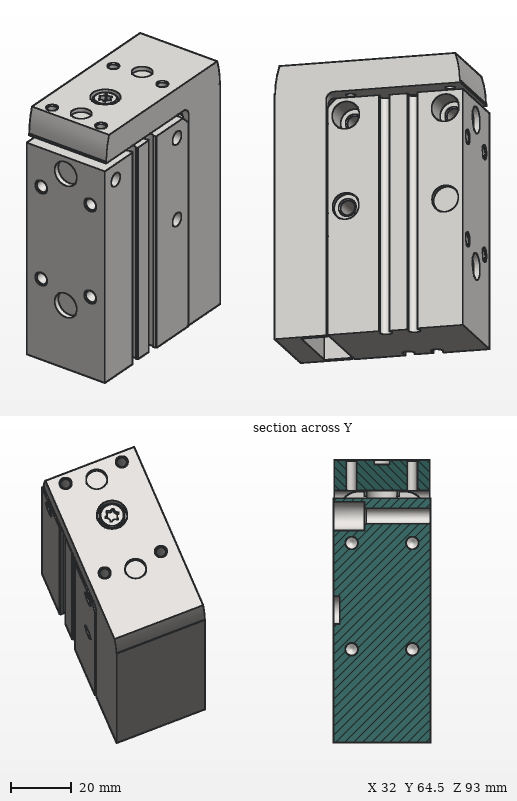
import cadquery as cq
import math


total_depth = 64.5
total_height = 93.0

housing_width = 32.0
housing_depth = 46.2
housing_height = 80.4
housing_chamfer = 2.8

slide_width = 31.5
slide_gap = 0.65
plate_underside = 82.9
plate_front = 0.9
plate_flank_radius = 29.9
plate_flank_step = 0.2
plate_flank_start = 83.5
inner_corner_radius = 2.8
leg_front = housing_depth + slide_gap

channel_width = 27.5
channel_corner_radius = 5.8
channel_depth = 9.0
channel_top = 82.5
carriage_bottom = 42.0
carriage_top = 72.5

slot_mouth_width = 3.2
slot_lip_chamfer = 0.3
slot_bore_diameter = 4.1
slot_bore_inset = 2.6
slot_front_y = 17.3
slot_back_y = 27.0
rib_inset = 0.5

side_hole_y = (6.0, 40.1)
side_hole_z_high = 74.5
side_hole_z_low = 43.5
side_counterbore_diameter = 9.3
side_counterbore_depth = 10.2
side_thread_diameter = 4.9
side_thread_countersink = 5.95

locating_diameter = 9.0
locating_depth = 2.0
port_z = (24.1, 74.0)

hole_spacing_x = 20.0
front_hole_z = (30.7, 65.7)
front_hole_diameter = 4.1
front_hole_countersink = 4.9
front_hole_depth = 8.4
drill_tip_angle = 118.0

plate_hole_y = (6.0, 40.1)
plate_hole_diameter = 3.3
plate_hole_countersink = 4.1
dowel_y = (8.6, 42.5)
dowel_diameter = 7.0
dowel_depth = 1.5

rod_y = 22.0
rod_diameter = 10.0
screw_recess_diameter = 10.0
screw_recess_depth = 2.8
screw_head_diameter = 8.5
screw_head_drop = 0.4
screw_head_chamfer = 0.5
star_tip_diameter = 4.65
star_flank_diameter = 2.4
star_valley_radius = 1.7
star_depth = 1.9
star_lobes = 6

stop_y = 37.9
stop_diameter = 11.5
stop_thickness = 1.8
stop_tip_diameter = 5.8


def cylinder(diameter, length, origin, direction):
    solid = cq.Solid.makeCylinder(diameter / 2, length, cq.Vector(*origin), cq.Vector(*direction))
    return cq.Workplane(solid)


def cone(start_diameter, end_diameter, length, origin, direction):
    start_radius = start_diameter / 2
    end_radius = end_diameter / 2
    solid = cq.Solid.makeCone(start_radius, end_radius, length, cq.Vector(*origin), cq.Vector(*direction))
    return cq.Workplane(solid)


def box(x_range, y_range, z_range):
    size = [high - low for low, high in (x_range, y_range, z_range)]
    corner = (x_range[0], y_range[0], z_range[0])
    return cq.Workplane().box(*size, centered=False).translate(corner)


def countersunk_hole(diameter, countersink_diameter, depth, origin, direction):
    """A round hole with a 45 degree countersink at its mouth."""
    countersink_depth = (countersink_diameter - diameter) / 2
    countersink = cone(countersink_diameter, diameter, countersink_depth, origin, direction)
    return cylinder(diameter, depth, origin, direction).union(countersink)


def slot_lip(side, face_x, lip_y, outward):
    """Wedge that breaks one edge of a slot mouth; outward is the Y direction away from the slot."""
    corners = (
        (face_x, lip_y),
        (face_x, lip_y + outward * slot_lip_chamfer),
        (face_x - side * slot_lip_chamfer, lip_y),
    )
    return cq.Workplane().polyline(corners).close().extrude(housing_height)


def sensor_slots(side):
    """Two round slots with open mouths and the set-back rib between them, on one side (-1 or +1)."""
    face_x = side * housing_width / 2
    rib_x = face_x - side * rib_inset
    bore_x = face_x - side * slot_bore_inset
    half_mouth = slot_mouth_width / 2
    cut = box(sorted((rib_x, face_x)), (slot_front_y, slot_back_y), (0, housing_height))
    for y, away_from_rib in ((slot_front_y, -1), (slot_back_y, 1)):
        mouth = box(sorted((bore_x, face_x)), (y - half_mouth, y + half_mouth), (0, housing_height))
        bore = cylinder(slot_bore_diameter, housing_height, (bore_x, y, 0), (0, 0, 1))
        outer_lip = slot_lip(side, face_x, y + away_from_rib * half_mouth, away_from_rib)
        rib_lip = slot_lip(side, rib_x, y - away_from_rib * half_mouth, -away_from_rib)
        cut = cut.union(mouth).union(bore).union(outer_lip).union(rib_lip)
    return cut


def side_holes():
    """Two deep counterbored holes, one threaded locating hole and one plain recess, from the -X side."""
    inward = (1, 0, 0)
    face_x = -housing_width / 2
    front_y, back_y = side_hole_y
    through_holes = (
        (front_y, side_hole_z_high, side_counterbore_diameter, side_counterbore_depth),
        (back_y, side_hole_z_high, side_counterbore_diameter, side_counterbore_depth),
        (back_y, side_hole_z_low, locating_diameter, locating_depth),
    )
    cut = cylinder(locating_diameter, locating_depth, (face_x, front_y, side_hole_z_low), inward)
    for y, z, mouth_diameter, mouth_depth in through_holes:
        cut = cut.union(cylinder(mouth_diameter, mouth_depth, (face_x, y, z), inward))
        thread_start = (face_x + mouth_depth, y, z)
        thread_length = housing_width - mouth_depth
        thread = countersunk_hole(
            side_thread_diameter, side_thread_countersink, thread_length, thread_start, inward
        )
        cut = cut.union(thread)
    return cut


def front_holes():
    """Four blind threaded holes with drill tips and two shallow round recesses."""
    inward = (0, 1, 0)
    tip_length = front_hole_diameter / 2 / math.tan(math.radians(drill_tip_angle / 2))
    cut = cq.Workplane()
    for z in port_z:
        cut = cut.add(cylinder(locating_diameter, locating_depth, (0, 0, z), inward))
    for z in front_hole_z:
        for x in (-hole_spacing_x / 2, hole_spacing_x / 2):
            hole = countersunk_hole(
                front_hole_diameter, front_hole_countersink, front_hole_depth, (x, 0, z), inward
            )
            tip = cone(front_hole_diameter, 0, tip_length, (x, front_hole_depth, z), inward)
            cut = cut.add(hole.union(tip))
    return cut.combine()


def build_housing():
    half_width = housing_width / 2
    block = box((-half_width, half_width), (0, housing_depth), (0, housing_height))
    block = block.edges(">Y and >Z").chamfer(housing_chamfer)
    carriage = box(
        (-channel_width / 2, channel_width / 2),
        (housing_depth, leg_front + channel_depth),
        (carriage_bottom, carriage_top),
    )
    housing = block.union(carriage)
    for side in (-1, 1):
        housing = housing.cut(sensor_slots(side))
    return housing.cut(side_holes()).cut(front_holes())


def slide_blank():
    """The L-shaped leg and plate, with curved flanks stepped in slightly at both ends of the plate."""
    flank_rise = total_height - plate_flank_start
    flank_inset = plate_flank_radius - math.sqrt(plate_flank_radius**2 - flank_rise**2)
    back_flank = total_depth - plate_flank_step
    front_flank = plate_front + plate_flank_step
    profile = (
        cq.Workplane("YZ")
        .moveTo(leg_front, 0)
        .lineTo(total_depth, 0)
        .lineTo(total_depth, plate_flank_start)
        .lineTo(back_flank, plate_flank_start)
        .radiusArc((back_flank - flank_inset, total_height), -plate_flank_radius)
        .lineTo(front_flank + flank_inset, total_height)
        .radiusArc((front_flank, plate_flank_start), -plate_flank_radius)
        .lineTo(plate_front, plate_flank_start)
        .lineTo(plate_front, plate_underside)
        .lineTo(leg_front - inner_corner_radius, plate_underside)
        .radiusArc((leg_front, plate_underside - inner_corner_radius), inner_corner_radius)
        .close()
    )
    return profile.extrude(slide_width / 2, both=True)


def guide_channel():
    """Flat-floored channel in the slide leg, open at the bottom and rounded at its top corners."""
    channel = box(
        (-channel_width / 2, channel_width / 2),
        (leg_front - inner_corner_radius, leg_front + channel_depth),
        (0, channel_top),
    )
    return channel.edges("|Y and >Z").fillet(channel_corner_radius)


def plate_holes():
    """Four threaded through holes and two shallow dowel recesses in the plate top."""
    down = (0, 0, -1)
    plate_thickness = total_height - plate_underside
    cut = cq.Workplane()
    for y in plate_hole_y:
        for x in (-hole_spacing_x / 2, hole_spacing_x / 2):
            mouth = (x, y, total_height)
            hole = countersunk_hole(
                plate_hole_diameter, plate_hole_countersink, plate_thickness, mouth, down
            )
            cut = cut.add(hole)
    for y in dowel_y:
        cut = cut.add(cylinder(dowel_diameter, dowel_depth, (0, y, total_height), down))
    return cut.combine()


def star_socket(top_z):
    """Six-lobed drive socket: a round recess with round flanks left standing between the lobes."""
    down = (0, 0, -1)
    socket = cylinder(star_tip_diameter, star_depth, (0, rod_y, top_z), down)
    flank_circle_radius = star_valley_radius + star_flank_diameter / 2
    for lobe in range(star_lobes):
        angle = 2 * math.pi * (lobe + 0.5) / star_lobes
        x = flank_circle_radius * math.cos(angle)
        y = rod_y + flank_circle_radius * math.sin(angle)
        socket = socket.cut(cylinder(star_flank_diameter, star_depth, (x, y, top_z), down))
    return socket


def screw_head():
    head_top = total_height - screw_head_drop
    recess_floor = total_height - screw_recess_depth
    head = cylinder(screw_head_diameter, head_top - recess_floor, (0, rod_y, recess_floor), (0, 0, 1))
    return head.faces(">Z").chamfer(screw_head_chamfer).cut(star_socket(head_top))


def stop_stud():
    """Round stop under the plate, stepping down to the tip that rests on the housing."""
    down = (0, 0, -1)
    disc_bottom = plate_underside - stop_thickness
    disc = cylinder(stop_diameter, stop_thickness, (0, stop_y, plate_underside), down)
    tip = cylinder(stop_tip_diameter, disc_bottom - housing_height, (0, stop_y, disc_bottom), down)
    return disc.union(tip)


def build_slide():
    down = (0, 0, -1)
    rod = cylinder(rod_diameter, plate_underside - housing_height, (0, rod_y, plate_underside), down)
    screw_recess = cylinder(screw_recess_diameter, screw_recess_depth, (0, rod_y, total_height), down)
    slide = slide_blank().cut(guide_channel()).cut(plate_holes()).cut(screw_recess)
    return slide.union(screw_head()).union(rod).union(stop_stud())


housing = build_housing()
slide = build_slide()
result = cq.Compound.makeCompound([housing.solids().val(), slide.solids().val()])